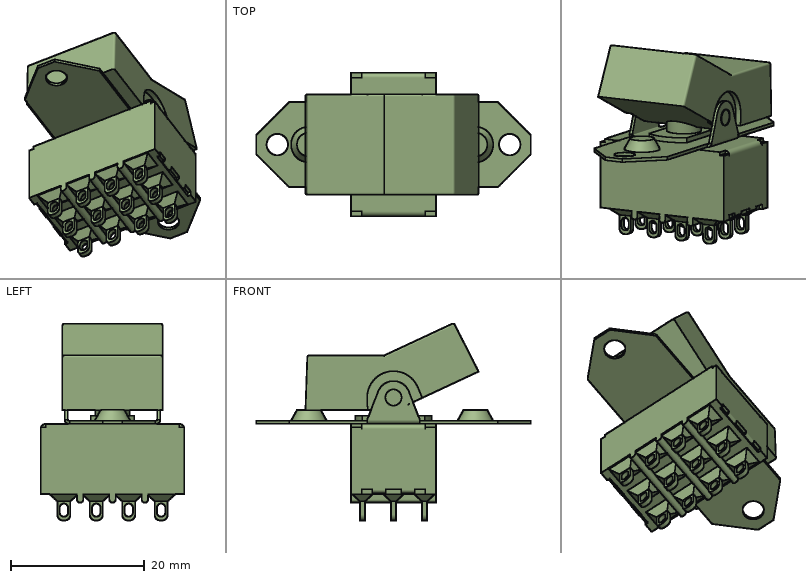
import cadquery as cq
import math


plate_length = 41.25
plate_width = 12.8
plate_thickness = 0.5
plate_corner = 4.95
mount_hole_diameter = 3.18
mount_hole_spacing = 34.9

cone_base_diameter = 5.35
cone_top_diameter = 3.6
cone_height = 1.6
cone_spacing = 25.0
cone_shift = -0.2

bushing_diameter = 5.2
flange_diameter = 11.5
flange_width = 6.6
flange_height = 0.75

pivot_height = 3.95
ear_span = 14.35
ear_tip_radius = 2.48
ear_width = 7.92
ear_bend_radius = 0.6
ear_root = 0.83
pin_diameter = 2.45
pin_head = 0.12

rocker_width = 15.1
rocker_tilt = 12.5
rocker_thickness = 8.2
rocker_crease_rise = 6.5
rocker_arm_length = 11.55
rocker_end_draft = 2.0
rocker_edge_radius = 0.35
relief_radius = 3.95
relief_flare = 10.0

case_length = 12.8
case_width = 21.6
case_height = 10.55
frame_thickness = 0.5
frame_bend_radius = 0.75
panel_width = 9.57
panel_height = 9.82
panel_recess = 0.5
clip_width = 2.0
clip_spacing = 4.37
clip_drop = 0.58

column_pitch = 4.65
pole_pitch = 4.85
terminal_thickness = 0.8
terminal_width = 2.0
terminal_length = 3.95
terminal_tip_radius = 0.85
eye_width = 1.25
eye_length = 1.95
eye_depth = 2.4
collar_height = 1.07
collar_flare = 1.15
rib_width = 1.0
rib_height = 1.3

case_bottom = -case_height
plate_top = plate_thickness
ear_inner_y = ear_span / 2 - plate_thickness


def block(x_size, y_size, z_low, z_high):
    """Box centred on X and Y between two heights."""
    return cq.Workplane("XY").workplane(offset=z_low).rect(x_size, y_size).extrude(z_high - z_low)


def with_opposite(solid):
    """The solid together with its mirror image across the XZ plane."""
    return solid.union(solid.mirror("XZ"))


def make_plate():
    plate = block(plate_length, plate_width, 0, plate_top).edges("|Z").chamfer(plate_corner)
    holes = cq.Workplane("XY").rarray(mount_hole_spacing, 0.4, 2, 1).circle(mount_hole_diameter / 2)
    return plate.cut(holes.extrude(plate_top))


def make_stop_cone(x_place):
    foot = cq.Vector(x_place, 0, plate_top)
    cone = cq.Solid.makeCone(cone_base_diameter / 2, cone_top_diameter / 2, cone_height, pnt=foot)
    return cq.Workplane(obj=cone)


def make_bushing():
    """Flat-sided flange and the post that carries the rocker."""
    seat = cq.Workplane("XY").workplane(offset=plate_top)
    flats = block(flange_diameter, flange_width, plate_top, plate_top + flange_height)
    flange = seat.circle(flange_diameter / 2).extrude(flange_height).intersect(flats)
    post = seat.circle(bushing_diameter / 2).extrude(pivot_height - plate_top)
    return flange.union(post)


def make_ear_strip():
    """Untapered strip on the +Y side: flat out from the plate, then bent straight up."""
    outer_y = ear_span / 2
    strip_top = pivot_height + ear_tip_radius
    strip = (
        cq.Workplane("YZ", origin=(-ear_width / 2, 0, 0))
        .moveTo(plate_width / 2 - ear_root, 0)
        .lineTo(outer_y - ear_bend_radius, 0)
        .radiusArc((outer_y, ear_bend_radius), -ear_bend_radius)
        .lineTo(outer_y, strip_top)
        .lineTo(ear_inner_y, strip_top)
        .lineTo(ear_inner_y, ear_bend_radius)
        .radiusArc((outer_y - ear_bend_radius, plate_top), ear_bend_radius - plate_thickness)
        .lineTo(plate_width / 2 - ear_root, plate_top)
        .close()
    )
    return strip.extrude(ear_width)


def make_ear():
    """Ear on the +Y side: tapered flanks tangent to a round tip, with the pivot pin head."""
    half = ear_width / 2
    drop = pivot_height - ear_bend_radius
    tangent_angle = math.acos(ear_tip_radius / math.hypot(half, drop)) - math.atan2(drop, half)
    tangent_x = ear_tip_radius * math.cos(tangent_angle)
    tangent_z = pivot_height + ear_tip_radius * math.sin(tangent_angle)
    profile = (
        cq.Workplane("XZ")
        .moveTo(-half, 0)
        .lineTo(half, 0)
        .lineTo(half, ear_bend_radius)
        .lineTo(tangent_x, tangent_z)
        .threePointArc((0, pivot_height + ear_tip_radius), (-tangent_x, tangent_z))
        .lineTo(-half, ear_bend_radius)
        .close()
        .extrude(-ear_span)
    )
    pin = (
        cq.Workplane("XZ", origin=(0, ear_inner_y, pivot_height))
        .circle(pin_diameter / 2)
        .extrude(-(plate_thickness + pin_head))
    )
    return make_ear_strip().intersect(profile).union(pin)


def make_rocker_blank():
    """V-shaped cap about its pivot at the origin, level, with rounded upper and end edges."""
    slope = math.radians(rocker_tilt)
    lower_length = rocker_arm_length + rocker_thickness * math.tan(math.radians(rocker_end_draft))
    end_top_x = rocker_arm_length * math.cos(slope)
    end_top_z = rocker_crease_rise + rocker_arm_length * math.sin(slope)
    end_low_x = lower_length * math.cos(slope) + rocker_thickness * math.sin(slope)
    end_low_z = (
        rocker_crease_rise + lower_length * math.sin(slope) - rocker_thickness * math.cos(slope)
    )
    crease_low_z = rocker_crease_rise - rocker_thickness / math.cos(slope)
    blank = (
        cq.Workplane("XZ")
        .polyline([
            (0, rocker_crease_rise),
            (end_top_x, end_top_z),
            (end_low_x, end_low_z),
            (0, crease_low_z),
            (-end_low_x, end_low_z),
            (-end_top_x, end_top_z),
        ])
        .close()
        .extrude(rocker_width / 2, both=True)
    )
    upper_edges = cq.selectors.BoxSelector(
        (-end_low_x, -rocker_width, end_low_z + rocker_edge_radius),
        (end_low_x, rocker_width, end_top_z + rocker_edge_radius),
    )
    crease = cq.selectors.NearestToPointSelector((0, 0, rocker_crease_rise))
    return blank.edges(upper_edges - crease).fillet(rocker_edge_radius)


def make_ear_relief():
    """Pocket in the +Y side of the level rocker: round at the pivot, flaring downwards."""
    flare = math.radians(relief_flare)
    tangent_x = relief_radius * math.cos(flare)
    tangent_z = relief_radius * math.sin(flare)
    mouth_x = tangent_x + (relief_radius + tangent_z) * math.tan(flare)
    return (
        cq.Workplane("XZ", origin=(0, ear_inner_y, 0))
        .moveTo(tangent_x, tangent_z)
        .threePointArc((0, relief_radius), (-tangent_x, tangent_z))
        .lineTo(-mouth_x, -relief_radius)
        .lineTo(mouth_x, -relief_radius)
        .close()
        .extrude(ear_inner_y - rocker_width)
    )


def make_rocker():
    """Cap tipped towards -X about the pivot, with a relief for each ear."""
    level = make_rocker_blank().cut(with_opposite(make_ear_relief()))
    tipped = level.rotate((0, 0, 0), (0, 1, 0), -rocker_tilt)
    return tipped.translate((0, 0, pivot_height))


def make_case():
    """Case block under a sheet-metal frame whose end panels sit flush in slots of the case."""
    inner_width = case_width - 2 * panel_recess
    sheet_width = case_width - 2 * frame_bend_radius
    body = block(case_length, case_width, case_bottom, -frame_thickness)
    slots = block(panel_width, case_width, case_bottom, 0)
    slots = slots.cut(block(panel_width, inner_width, case_bottom, 0))
    sheet = block(case_length, sheet_width, -frame_thickness, 0)
    panels = block(panel_width, case_width, -panel_height, 0)
    panels = panels.edges("|X and >Z").fillet(frame_bend_radius)
    body = body.cut(slots).union(sheet).union(panels)
    for x_place in (-clip_spacing / 2, clip_spacing / 2):
        clip = block(clip_width, case_width, -panel_height - clip_drop, -panel_height)
        clip = clip.edges("|X and <Z").fillet(panel_recess)
        body = body.union(clip.translate((x_place, 0, 0)))
    return body


def make_terminals():
    """Three columns of four solder lugs, each standing in a tapered potting collar."""
    lug = block(terminal_thickness, terminal_width, -terminal_length, 0)
    lug = lug.edges("|X and <Z").fillet(terminal_tip_radius)
    eye = (
        cq.Workplane("YZ", origin=(-terminal_thickness, 0, -eye_depth))
        .slot2D(eye_length, eye_width, 90)
        .extrude(2 * terminal_thickness)
    )
    collar = (
        cq.Workplane("XY")
        .rect(terminal_thickness + 2 * collar_flare, terminal_width + 2 * collar_flare)
        .workplane(offset=-collar_height)
        .rect(terminal_thickness, terminal_width)
        .loft(ruled=True)
    )
    terminal = lug.cut(eye).union(collar).val()
    places = cq.Workplane("XY").workplane(offset=case_bottom).rarray(column_pitch, pole_pitch, 3, 4)
    return places.eachpoint(terminal.moved)


def make_ribs():
    """Round-nosed ribs running along X between neighbouring poles."""
    nose_z = case_bottom - rib_height + rib_width / 2
    profile = (
        cq.Workplane("YZ", origin=(-case_length / 2, 0, 0))
        .moveTo(rib_width / 2, case_bottom)
        .lineTo(rib_width / 2, nose_z)
        .radiusArc((-rib_width / 2, nose_z), rib_width / 2)
        .lineTo(-rib_width / 2, case_bottom)
        .close()
    )
    rib = profile.extrude(case_length).val()
    return cq.Workplane("XY").rarray(0.4, pole_pitch, 1, 3).eachpoint(rib.moved)


result = make_case().union(make_plate()).union(make_bushing())
for side in (-1, 1):
    result = result.union(make_stop_cone(cone_shift + side * cone_spacing / 2))
result = result.union(make_rocker()).union(with_opposite(make_ear()))
result = result.union(make_ribs()).union(make_terminals())